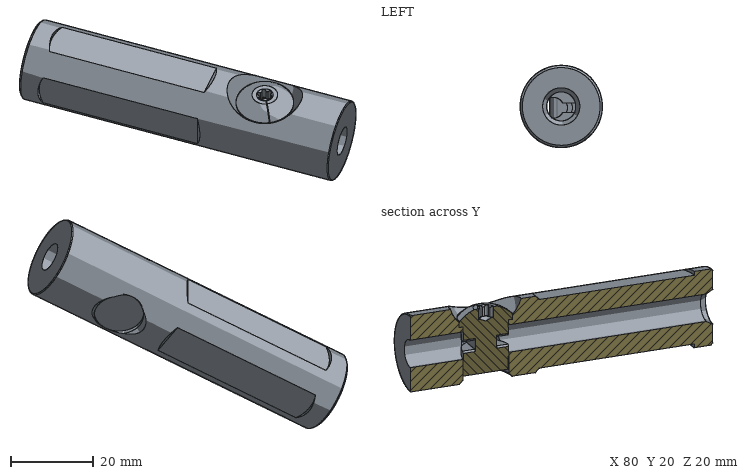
import cadquery as cq
import math

length = 80.0
bar_diameter = 20.0
near_end_chamfer = 0.6
far_end_chamfer = 0.2
bore_diameter = 7.0
countersink_diameter = 9.0
countersink_depth = 1.8

flat_count = 4
flat_depth = 1.0
flat_start = 5.0
flat_end = 46.9

cam_x = 60.0
cam_head_diameter = 14.0
cam_body_diameter = 12.0
cam_shoulder_z = 5.0
recess_radius = 9.8
recess_center_z = 13.0
exit_chamfer = (cam_head_diameter - cam_body_diameter) / 2

dome_radius = 9.5
dome_top_z = 9.0
cam_bottom_z = -8.0

lobe_count = 6
lobe_diameter = 1.0
socket_diameter = 2.9
socket_depth = 2.8
socket_tip_depth = 0.6
socket_mouth_diameter = 4.1
socket_mouth_depth = 0.3

groove_angle = -60.0
groove_width = 0.2
groove_depth = 0.4

keyhole_z = -0.3
keyhole_y = 1.9
keyhole_diameter = 5.0
neck_slot_width = 2.4

core_radius = 2.8
ramp_edge_y = 1.08
ramp_tilt = 18.0

step_edge_radius = 2.2
step_edges_and_depths = [(-1.5, 0.4), (-2.7, 1.2)]

bar_radius = bar_diameter / 2
cam_head_radius = cam_head_diameter / 2
cam_body_radius = cam_body_diameter / 2


def disc(radius, bottom_z, top_z):
    """Upright cylinder on the Z axis."""
    return cq.Workplane("XY").workplane(offset=bottom_z).circle(radius).extrude(top_z - bottom_z)


def cone(bottom_radius, top_radius, bottom_z, top_z):
    """Upright cone or truncated cone on the Z axis."""
    base = cq.Vector(0, 0, bottom_z)
    return cq.Workplane(cq.Solid.makeCone(bottom_radius, top_radius, top_z - bottom_z, base))


def flat_cutter():
    """Block that cuts the flat on the top of the bar."""
    wall_center_x = flat_start + bar_radius
    return (
        cq.Workplane("XY")
        .workplane(offset=bar_radius - flat_depth)
        .moveTo(wall_center_x, bar_radius)
        .threePointArc((flat_start, 0), (wall_center_x, -bar_radius))
        .lineTo(flat_end, -bar_radius)
        .lineTo(flat_end, bar_radius)
        .close()
        .extrude(2 * flat_depth)
        .faces(">X")
        .edges("<Z")
        .chamfer(flat_depth)
    )


def cam_hole():
    """Stepped hole with a spherical recess at the top and a countersink at the bottom."""
    recess = cq.Workplane("XY").sphere(recess_radius).translate((0, 0, recess_center_z))
    countersink = cone(cam_head_radius, cam_body_radius, -bar_radius, exit_chamfer - bar_radius)
    return (
        disc(cam_body_radius, -bar_radius, bar_radius)
        .union(disc(cam_head_radius, cam_shoulder_z, recess_center_z))
        .union(recess)
        .union(countersink)
        .translate((cam_x, 0, 0))
    )


def make_housing():
    bar = cq.Workplane("YZ").circle(bar_radius).extrude(length)
    bar = bar.faces("<X").chamfer(near_end_chamfer).faces(">X").chamfer(far_end_chamfer)
    cutter = flat_cutter()
    for index in range(flat_count):
        angle = index * 360 / flat_count
        bar = bar.cut(cutter.rotate((0, 0, 0), (1, 0, 0), angle))
    bore = cq.Workplane("YZ").circle(bore_diameter / 2).extrude(length)
    bar = bar.cut(bore)
    countersink = cone(countersink_diameter / 2, bore_diameter / 2, 0, countersink_depth)
    countersink = countersink.rotate((0, 0, 0), (0, 1, 0), 90)
    bar = bar.cut(countersink)
    return bar.cut(cam_hole())


def drive_socket():
    """Round hole with a ring of lobes, a conical tip and a countersunk mouth."""
    floor_z = dome_top_z - socket_depth
    lobes = (
        cq.Workplane("XY")
        .workplane(offset=floor_z)
        .polarArray(socket_diameter / 2, 0, 360, lobe_count)
        .circle(lobe_diameter / 2)
        .extrude(socket_depth)
    )
    tip = cone(0, socket_diameter / 2, floor_z - socket_tip_depth, floor_z)
    mouth = cone(socket_diameter / 2, socket_mouth_diameter / 2, dome_top_z - socket_mouth_depth, dome_top_z)
    return disc(socket_diameter / 2, floor_z, dome_top_z).union(lobes).union(tip).union(mouth)


def pointer_groove():
    """Thin radial slot whose floor is a sphere below the dome."""
    slot = cq.Workplane("XY").box(cam_head_radius, groove_width, dome_top_z, centered=(False, True, False))
    floor = cq.Workplane("XY").sphere(dome_radius - groove_depth)
    return slot.cut(floor).rotate((0, 0, 0), (0, 0, 1), groove_angle)


def ramp_x(y):
    """X of the tilted ramp face at the given Y."""
    edge_x = -math.sqrt(core_radius**2 - ramp_edge_y**2)
    return edge_x - (ramp_edge_y - y) * math.tan(math.radians(ramp_tilt))


def stepped_core():
    """Upright core with a round back and a tilted ramp that drops in round-edged steps."""
    core = (
        cq.Workplane("XY")
        .workplane(offset=-keyhole_diameter)
        .moveTo(ramp_x(ramp_edge_y), ramp_edge_y)
        .threePointArc((0, core_radius), (core_radius, 0))
        .lineTo(core_radius, -cam_head_radius)
        .lineTo(ramp_x(-cam_head_radius), -cam_head_radius)
        .close()
        .extrude(2 * keyhole_diameter)
    )
    for edge_y, depth in step_edges_and_depths:
        center_y = edge_y + step_edge_radius
        step = (
            cq.Workplane("XY")
            .workplane(offset=keyhole_z - neck_slot_width / 2)
            .moveTo(ramp_x(center_y), center_y)
            .lineTo(ramp_x(center_y) + depth, center_y)
            .lineTo(ramp_x(-cam_head_radius) + depth, -cam_head_radius)
            .lineTo(ramp_x(-cam_head_radius), -cam_head_radius)
            .close()
            .extrude(neck_slot_width)
        )
        kept = (
            cq.Workplane("YZ")
            .center(center_y, keyhole_z)
            .circle(step_edge_radius)
            .extrude(cam_head_radius, both=True)
        )
        core = core.cut(step.cut(kept))
    return core


def bolt_passage():
    """Keyhole along X through the cam, with the core left out of the cut."""
    hole = (
        cq.Workplane("YZ")
        .center(keyhole_y, keyhole_z)
        .circle(keyhole_diameter / 2)
        .extrude(cam_head_radius, both=True)
    )
    slot = (
        cq.Workplane("XY")
        .box(cam_head_diameter, cam_head_radius + keyhole_y, neck_slot_width)
        .translate((0, (keyhole_y - cam_head_radius) / 2, keyhole_z))
    )
    return hole.union(slot).cut(stepped_core())


def make_cam():
    dome = cq.Workplane("XY").sphere(dome_radius).rotate((0, 0, 0), (0, 0, 1), groove_angle)
    head = disc(cam_head_radius, cam_shoulder_z, dome_top_z).intersect(dome)
    cam = head.union(disc(cam_body_radius, cam_bottom_z, cam_shoulder_z))
    cam = cam.cut(drive_socket()).cut(pointer_groove()).cut(bolt_passage())
    return cam.translate((cam_x, 0, 0))


housing = make_housing()
cam = make_cam()

result = cq.Compound.makeCompound([housing.solids().val(), cam.solids().val()])